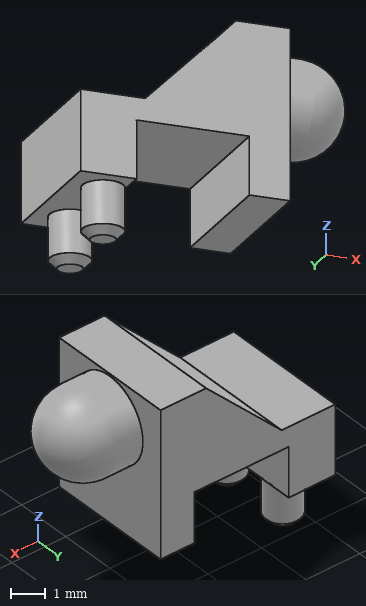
import cadquery as cq

body_length = 6.5
body_width = 4.6
body_height = 5.31
step_height = 2.52
slope_start = 2.0
slope_end = 4.81
channel_start = 1.74
channel_end = 5.23
channel_height = 1.81

overall_length = 9.0
lens_diameter = 3.0
lens_radius = lens_diameter / 2
lens_center_height = 3.735
dome_start = 7.55
dome_length = overall_length - dome_start
dome_sphere_radius = (lens_radius**2 + dome_length**2) / (2 * dome_length)
dome_sphere_offset = dome_length - dome_sphere_radius

pin_diameter = 1.27
overall_height = 6.9
pin_length = overall_height - body_height
pin_spacing = 2.54
pin_x = 1.11
pin_chamfer = 0.25


def make_body():
    """Stepped, sloping block with a channel across its underside."""
    outline = [
        (0, 0),
        (channel_start, 0),
        (channel_start, channel_height),
        (channel_end, channel_height),
        (channel_end, 0),
        (body_length, 0),
        (body_length, body_height),
        (slope_end, body_height),
        (slope_start, step_height),
        (0, step_height),
    ]
    return cq.Workplane("XZ").polyline(outline).close().extrude(body_width / 2, both=True)


def make_lens():
    """Cylinder along X ending in a spherical cap that is nearly a hemisphere."""
    cylinder = (
        cq.Workplane("YZ", origin=(body_length, 0, lens_center_height))
        .circle(lens_radius)
        .extrude(dome_start - body_length)
    )
    arc_middle = (dome_sphere_offset + 0.8 * dome_sphere_radius, 0.6 * dome_sphere_radius)
    dome = (
        cq.Workplane("XY", origin=(dome_start, 0, lens_center_height))
        .lineTo(dome_length, 0)
        .threePointArc(arc_middle, (0, lens_radius))
        .close()
        .revolve(360, (0, 0, 0), (1, 0, 0))
    )
    return cylinder.union(dome)


def make_pin(y):
    """Round pin hanging below the block, chamfered at its tip."""
    return (
        cq.Workplane("XY", origin=(pin_x, y, 0))
        .circle(pin_diameter / 2)
        .extrude(-pin_length)
        .faces("<Z")
        .chamfer(pin_chamfer)
    )


result = make_body().union(make_lens())
for side in (-1, 1):
    result = result.union(make_pin(side * pin_spacing / 2))